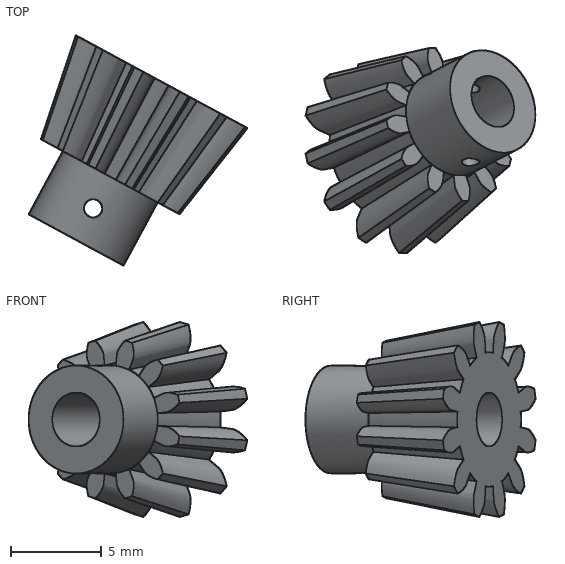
import cadquery as cq
import math

tooth_count = 12
module_large = 0.8
pressure_angle = math.radians(20)
taper_ratio = 0.808
tip_radius_large = 5.54
root_radius_large = 3.74
gear_length = 6.0
hub_diameter = 6.0
hub_length = 4.0
bore_diameter = 3.0
cross_hole_diameter = 1.0
axis_tilt = math.radians(28.4)
flank_steps = 5
root_overlap = 0.25

base_radius_large = module_large * tooth_count / 2 * math.cos(pressure_angle)


def involute(angle):
    return math.tan(angle) - angle


base_half_angle = math.pi / (2 * tooth_count) + involute(pressure_angle)
root_radius_small = root_radius_large * taper_ratio
total_length = hub_length + gear_length


def polar(radius, angle):
    return radius * math.cos(angle), radius * math.sin(angle)


def flank_points(scale, side):
    """Involute points from the base circle to the tip, on one side (+1 or -1)."""
    points = []
    for step in range(flank_steps + 1):
        radius = base_radius_large + (tip_radius_large - base_radius_large) * step / flank_steps
        half_angle = base_half_angle - involute(math.acos(base_radius_large / radius))
        points.append(polar(radius * scale, side * half_angle))
    return points


def tooth_wire(scale, height):
    """Tooth section: radial lower flanks, involute upper flanks and a flat tip."""
    buried_radius = (root_radius_large - root_overlap) * scale
    right_flank = flank_points(scale, -1)
    left_flank = flank_points(scale, 1)
    section = (
        cq.Workplane("XY", origin=(0, 0, height))
        .moveTo(*polar(buried_radius, -base_half_angle))
        .lineTo(*right_flank[0])
        .spline(right_flank[1:], includeCurrent=True)
        .lineTo(*left_flank[-1])
        .spline(left_flank[-2::-1], includeCurrent=True)
        .lineTo(*polar(buried_radius, base_half_angle))
        .close()
    )
    return section.val()


def make_blank():
    """Hub and root cone revolved about local Z, which is the gear axis."""
    return (
        cq.Workplane("XZ")
        .lineTo(hub_diameter / 2, 0)
        .lineTo(hub_diameter / 2, hub_length)
        .lineTo(root_radius_small, hub_length)
        .lineTo(root_radius_large, total_length)
        .lineTo(0, total_length)
        .close()
        .revolve(360, (0, 0, 0), (0, 1, 0))
    )


def add_teeth(body):
    narrow_end = tooth_wire(taper_ratio, hub_length)
    wide_end = tooth_wire(1, total_length)
    tooth = cq.Workplane(cq.Solid.makeLoft([narrow_end, wide_end], True))
    pitch_angle = 360 / tooth_count
    for index in range(tooth_count):
        body = body.union(tooth.rotate((0, 0, 0), (0, 0, 1), (index + 0.5) * pitch_angle))
    return body


def cut_holes(body):
    """Bore along the gear axis and a pin hole across the middle of the hub."""
    bore = cq.Workplane("XY").circle(bore_diameter / 2).extrude(total_length)
    pin_hole = (
        cq.Workplane("XZ", origin=(0, 0, hub_length / 2))
        .circle(cross_hole_diameter / 2)
        .extrude(hub_diameter / 2, both=True)
    )
    return body.cut(bore).cut(pin_hole)


gear = cut_holes(add_teeth(make_blank()))

gear_frame = cq.Plane(
    origin=(0, 0, 0),
    xDir=(math.cos(axis_tilt), -math.sin(axis_tilt), 0),
    normal=(math.sin(axis_tilt), math.cos(axis_tilt), 0),
)
result = cq.Workplane(gear.val().moved(cq.Location(gear_frame)))